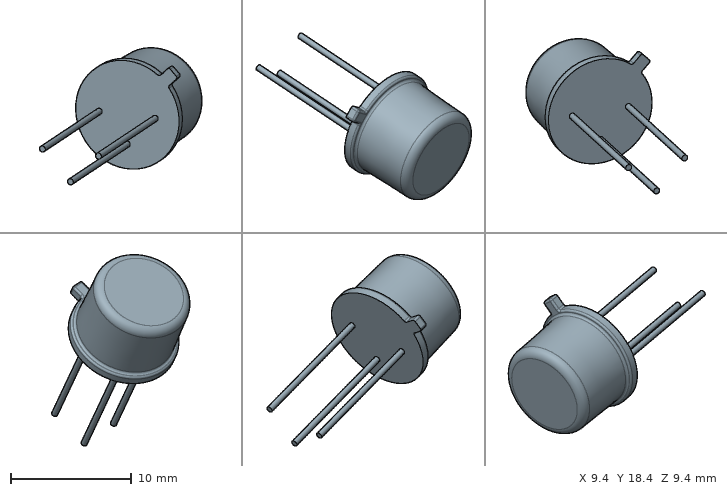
import cadquery as cq

total_length = 18.42

flange_radius = 4.7
flange_thickness = 0.85
flange_edge_radius = 0.18

tab_width = 1.15
tab_reach = 5.9
tab_angle = 45.0
tab_corner_radius = 0.18

body_height = 6.6
can_base_radius = 4.27
can_top_radius = 4.15
can_top_fillet = 0.74
can_foot_fillet = 0.22

lead_diameter = 0.53
lead_circle_radius = 2.55
lead_angles = (0.0, 180.0, 270.0)
lead_length = total_length - body_height

pick_margin = 0.02

underside = cq.Workplane("XZ")


def make_flange():
    """Flange disc and index tab, with all upright tab edges and the upper rim rounded."""
    disc = underside.circle(flange_radius).extrude(-flange_thickness)
    tab = (
        underside.transformed(rotate=(0, 0, tab_angle))
        .center(tab_reach / 2, 0)
        .rect(tab_reach, tab_width)
        .extrude(-flange_thickness)
    )
    tab_edges = cq.selectors.BoxSelector(
        (pick_margin, -pick_margin, pick_margin),
        (tab_reach, flange_thickness + pick_margin, tab_reach),
    )
    flange = disc.union(tab).edges("|Y").edges(tab_edges).fillet(tab_corner_radius)
    return flange.faces(">Y").edges().fillet(flange_edge_radius)


def make_can():
    """Slightly tapered can with a rounded top edge, standing on the flange."""
    can = (
        cq.Workplane("XY")
        .moveTo(0, flange_thickness)
        .lineTo(can_base_radius, flange_thickness)
        .lineTo(can_top_radius, body_height)
        .lineTo(0, body_height)
        .close()
        .revolve(360, (0, 0, 0), (0, 1, 0))
    )
    return can.faces(">Y").edges().fillet(can_top_fillet)


def make_leads():
    """Three round leads on a common circle."""
    leads = cq.Workplane("XZ")
    for angle in lead_angles:
        leads = leads.union(
            underside.transformed(rotate=(0, 0, angle))
            .center(lead_circle_radius, 0)
            .circle(lead_diameter / 2)
            .extrude(lead_length)
        )
    return leads


def round_can_foot(body):
    """Fillet the corner where the can meets the flange."""
    half_side = can_base_radius + can_foot_fillet / 2
    foot_edge = cq.selectors.BoxSelector(
        (-half_side, flange_thickness - pick_margin, -half_side),
        (half_side, flange_thickness + pick_margin, half_side),
        boundingbox=True,
    )
    return body.edges(foot_edge).fillet(can_foot_fillet)


body = round_can_foot(make_flange().union(make_can()))
result = body.union(make_leads())